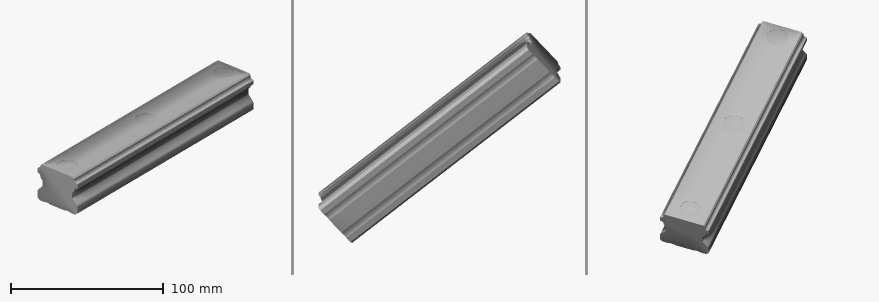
import cadquery as cq
import math

rail_length = 180.0
rail_width = 34.0
rail_height = 27.5
half_width = rail_width / 2

head_half_width = 14.4
top_chamfer = 0.9
flange_mid_z = 22.0
flange_height = 3.6
flange_chamfer = 0.4
flange_root_radius = 2.2
head_bottom_z = 17.3

neck_half_width = 12.6
neck_top_z = 15.8
neck_bottom_z = 11.5
upper_neck_radius = 1.6
lower_neck_radius = 1.5

shoulder_radius = 2.5
foot_chamfer_width = 1.8
foot_chamfer_height = 1.6
shoulder_z = neck_bottom_z - (half_width - neck_half_width)

groove_offset = 8.6
groove_width = 5.0
groove_depth = 0.5

plug_count = 3
plug_pitch = 80.0
plug_diameter = 14.0
plug_recess = 0.2


def concave_quarter_mid(center_x, center_z, up):
    """Middle of the quarter arc facing the rail centre, above (up=1) or below (up=-1) its centre."""
    reach = flange_root_radius * math.sqrt(0.5)
    return (center_x - reach, center_z + up * reach)


def half_rail():
    """Right half of the section, extruded over the full length, with its lengthwise rounds."""
    flange_top = flange_mid_z + flange_height / 2
    flange_bottom = flange_mid_z - flange_height / 2
    root_x = head_half_width + flange_root_radius
    upper_root_z = flange_top + flange_root_radius
    lower_root_z = flange_bottom - flange_root_radius

    solid = (
        cq.Workplane("XZ", origin=(0, rail_length / 2, 0))
        .moveTo(0, 0)
        .lineTo(groove_offset - groove_width / 2, 0)
        .threePointArc((groove_offset, groove_depth), (groove_offset + groove_width / 2, 0))
        .lineTo(half_width - foot_chamfer_width, 0)
        .lineTo(half_width, foot_chamfer_height)
        .lineTo(half_width, shoulder_z)
        .lineTo(neck_half_width, neck_bottom_z)
        .lineTo(neck_half_width, neck_top_z)
        .lineTo(head_half_width, head_bottom_z)
        .lineTo(head_half_width, lower_root_z)
        .threePointArc(concave_quarter_mid(root_x, lower_root_z, 1), (root_x, flange_bottom))
        .lineTo(half_width, flange_bottom + flange_chamfer)
        .lineTo(half_width, flange_top - flange_chamfer)
        .lineTo(root_x, flange_top)
        .threePointArc(concave_quarter_mid(root_x, upper_root_z, -1), (head_half_width, upper_root_z))
        .lineTo(head_half_width, rail_height - top_chamfer)
        .lineTo(head_half_width - top_chamfer, rail_height)
        .lineTo(0, rail_height)
        .close()
        .extrude(rail_length)
    )
    rounded_corners = [
        (half_width, shoulder_z, shoulder_radius),
        (neck_half_width, neck_bottom_z, lower_neck_radius),
        (neck_half_width, neck_top_z, upper_neck_radius),
    ]
    for x, z, radius in rounded_corners:
        solid = solid.edges(cq.NearestToPointSelector((x, 0, z))).fillet(radius)
    return solid


def rail_body():
    right_half = half_rail()
    return right_half.union(right_half.mirror("YZ"))


def plug_recesses():
    """Shallow discs removed from the top face where the plugs sit."""
    return (
        cq.Workplane("XY", origin=(0, 0, rail_height - plug_recess))
        .rarray(1.8, plug_pitch, 1, plug_count)
        .circle(plug_diameter / 2)
        .extrude(plug_recess)
    )


result = rail_body().cut(plug_recesses())